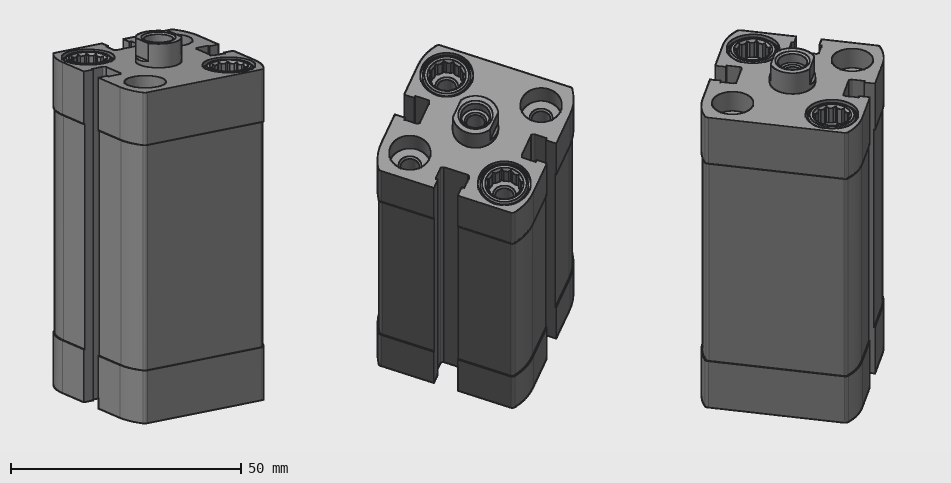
import cadquery as cq
import math


WIDTH = 35.5
TOTAL_HEIGHT = 80.6
ROD_PROTRUSION = 5.4
HOUSING_HEIGHT = TOTAL_HEIGHT - ROD_PROTRUSION
CAP_HEIGHT = 12.0
BARREL_INSET = 0.25

CORNER_ARC_RADIUS = 11.7
SCREW_PITCH = 22.0
SCREW_OFFSET = SCREW_PITCH / 2
SIDE_BLEND_RADIUS = 1.0

SLOT_MOUTH_WIDTH = 5.6
SLOT_WIDTH = 6.7
SLOT_DEPTH = 5.9
SLOT_LIP = 2.4
SLOT_CORNER_RADIUS = 0.65
SLOT_DIRECTIONS = (90, 180, 270)

THROUGH_DIAMETER = 4.1
THROUGH_MOUTH_DIAMETER = 5.0
THROUGH_CHAMFER_DEPTH = 0.4
COUNTERBORE_DIAMETER = 9.0
COUNTERBORE_DEPTH = 5.0

HEAD_RECESS_DIAMETER = 11.5
HEAD_RECESS_DEPTH = 1.0
HEAD_DIAMETER = 10.5
HEAD_SINK = 0.2
HEAD_CHAMFER = 0.4
SOCKET_NOTCHES = 12
FIRST_LAND_ANGLE = 45.0
SOCKET_LAND_RADIUS = 3.6
SOCKET_NOTCH_RADIUS = 3.95
SOCKET_MOUTH_RADIUS = 4.2
SOCKET_LAND_WIDTH = 1.05
SOCKET_LEAD_IN = 0.65
SOCKET_DEPTH = 4.4

ROD_DIAMETER = 10.0
ROD_FLATS = 8.7
FLAT_HEIGHT = 4.0
FLAT_RUNOUT = 0.3
ROD_LENGTH = ROD_PROTRUSION + CAP_HEIGHT
PILOT_MOUTH_DIAMETER = 7.5
PILOT_DIAMETER = 6.4
PILOT_CHAMFER_DEPTH = 0.3
PILOT_DEPTH = 2.6
THREAD_MOUTH_DIAMETER = 4.75
THREAD_DIAMETER = 3.95
THREAD_CHAMFER_DEPTH = 0.3
THREAD_END = 12.1
DRILL_POINT_ANGLE = 118.0


def turned(profile):
    """Solid of revolution about Z from (radius, z) points."""
    return cq.Workplane("XZ").polyline(profile).close().revolve(360, (0, 0, 0), (0, 1, 0))


def outline_block(inset, bottom, height):
    """Block with the rounded-square outline, offset inward by the inset."""
    half = WIDTH / 2 - inset
    radius = CORNER_ARC_RADIUS - inset
    centre_y = WIDTH / 2 - CORNER_ARC_RADIUS
    end_angle = math.acos((half - SCREW_OFFSET) / radius)
    mid_angle = (end_angle + math.pi / 2) / 2
    mid_x = SCREW_OFFSET + radius * math.cos(mid_angle)
    mid_y = centre_y + radius * math.sin(mid_angle)
    end_y = centre_y + radius * math.sin(end_angle)
    return (
        cq.Workplane("XY", origin=(0, 0, bottom))
        .moveTo(-SCREW_OFFSET, half)
        .lineTo(SCREW_OFFSET, half)
        .threePointArc((mid_x, mid_y), (half, end_y))
        .lineTo(half, -end_y)
        .threePointArc((mid_x, -mid_y), (SCREW_OFFSET, -half))
        .lineTo(-SCREW_OFFSET, -half)
        .threePointArc((-mid_x, -mid_y), (-half, -end_y))
        .lineTo(-half, end_y)
        .threePointArc((-mid_x, mid_y), (-SCREW_OFFSET, half))
        .close()
        .extrude(height)
        .edges("|Z and (>X or <X)")
        .fillet(SIDE_BLEND_RADIUS)
    )


def sensor_slot(direction):
    """T-slot cutter over the full height, opening toward the given angle about Z."""
    face = WIDTH / 2
    chamber_depth = SLOT_DEPTH - SLOT_LIP
    mouth = cq.Workplane("XY").box(
        SLOT_DEPTH, SLOT_MOUTH_WIDTH, HOUSING_HEIGHT, centered=(False, True, False)
    ).translate((face - SLOT_DEPTH, 0, 0))
    chamber = cq.Workplane("XY").box(
        chamber_depth, SLOT_WIDTH, HOUSING_HEIGHT, centered=(False, True, False)
    ).edges("|Z and <X").fillet(SLOT_CORNER_RADIUS).translate((face - SLOT_DEPTH, 0, 0))
    return mouth.union(chamber).rotate((0, 0, 0), (0, 0, 1), direction)


def through_hole(mouth_z):
    """Cutter for a through hole whose chamfered mouth lies at mouth_z."""
    return turned([
        (0, 0),
        (THROUGH_DIAMETER / 2, 0),
        (THROUGH_DIAMETER / 2, mouth_z - THROUGH_CHAMFER_DEPTH),
        (THROUGH_MOUTH_DIAMETER / 2, mouth_z),
        (0, mouth_z),
    ])


def counterbored_hole():
    """Cutter for a plain counterbored through hole."""
    floor_z = HOUSING_HEIGHT - COUNTERBORE_DEPTH
    counterbore = (
        cq.Workplane("XY", origin=(0, 0, floor_z)).circle(COUNTERBORE_DIAMETER / 2).extrude(COUNTERBORE_DEPTH)
    )
    return counterbore.union(through_hole(floor_z))


def notched_socket(head_top):
    """Cutter for the socket: twelve sharp notches between flat lands, with a conical lead-in."""
    pitch = 2 * math.pi / SOCKET_NOTCHES
    half_land = math.atan(SOCKET_LAND_WIDTH / 2 / SOCKET_LAND_RADIUS)
    land_corner_radius = SOCKET_LAND_RADIUS / math.cos(half_land)
    points = []
    for i in range(SOCKET_NOTCHES):
        land_angle = math.radians(FIRST_LAND_ANGLE) + i * pitch
        for radius, angle in (
            (land_corner_radius, land_angle - half_land),
            (land_corner_radius, land_angle + half_land),
            (SOCKET_NOTCH_RADIUS, land_angle + pitch / 2),
        ):
            points.append((radius * math.cos(angle), radius * math.sin(angle)))
    floor_z = head_top - SOCKET_DEPTH
    notches = cq.Workplane("XY", origin=(0, 0, floor_z)).polyline(points).close().extrude(SOCKET_DEPTH)
    lead_in = turned([
        (0, head_top),
        (SOCKET_MOUTH_RADIUS, head_top),
        (SOCKET_LAND_RADIUS, head_top - SOCKET_LEAD_IN),
        (0, head_top - SOCKET_LEAD_IN),
    ])
    return notches.union(lead_in).union(through_hole(floor_z))


def socket_head_hole():
    """Cutter that leaves a sunk, chamfered screw head with its socket and through hole."""
    head_top = HOUSING_HEIGHT - HEAD_SINK
    head_radius = HEAD_DIAMETER / 2
    recess_floor = HOUSING_HEIGHT - HEAD_RECESS_DEPTH
    recess = turned([
        (0, HOUSING_HEIGHT),
        (HEAD_RECESS_DIAMETER / 2, HOUSING_HEIGHT),
        (HEAD_RECESS_DIAMETER / 2, recess_floor),
        (head_radius, recess_floor),
        (head_radius, head_top - HEAD_CHAMFER),
        (head_radius - HEAD_CHAMFER, head_top),
        (0, head_top),
    ])
    return recess.union(notched_socket(head_top))


def rod_cylinder():
    """Plain cylinder of the rod, which is also the cutter for its seat in the housing."""
    base_z = TOTAL_HEIGHT - ROD_LENGTH
    return cq.Workplane("XY", origin=(0, 0, base_z)).circle(ROD_DIAMETER / 2).extrude(ROD_LENGTH)


def make_housing():
    """Barrel between two slightly larger end caps, with slots, screw holes and the rod hole."""
    housing = outline_block(BARREL_INSET, 0, HOUSING_HEIGHT)
    for cap_bottom in (0, HOUSING_HEIGHT - CAP_HEIGHT):
        housing = housing.union(outline_block(0, cap_bottom, CAP_HEIGHT))
    for direction in SLOT_DIRECTIONS:
        housing = housing.cut(sensor_slot(direction))
    for side in (-1, 1):
        x = side * SCREW_OFFSET
        housing = housing.cut(socket_head_hole().translate((x, x, 0)))
        housing = housing.cut(counterbored_hole().translate((x, -x, 0)))
    return housing.cut(rod_cylinder())


def wrench_flat_cutter():
    """Cutter for the flat on the +Y side, with its sloped ledge."""
    radius = ROD_DIAMETER / 2
    flat_y = ROD_FLATS / 2
    flat_bottom = TOTAL_HEIGHT - FLAT_HEIGHT
    return (
        cq.Workplane("YZ")
        .polyline([
            (flat_y, TOTAL_HEIGHT),
            (flat_y, flat_bottom),
            (radius, flat_bottom - FLAT_RUNOUT),
            (radius, TOTAL_HEIGHT),
        ])
        .close()
        .extrude(radius, both=True)
    )


def rod_bore():
    """Cutter for the pilot bore, the thread hole and its drill point."""
    pilot_floor = TOTAL_HEIGHT - PILOT_DEPTH
    thread_end = TOTAL_HEIGHT - THREAD_END
    point_depth = THREAD_DIAMETER / 2 / math.tan(math.radians(DRILL_POINT_ANGLE / 2))
    return turned([
        (0, TOTAL_HEIGHT),
        (PILOT_MOUTH_DIAMETER / 2, TOTAL_HEIGHT),
        (PILOT_DIAMETER / 2, TOTAL_HEIGHT - PILOT_CHAMFER_DEPTH),
        (PILOT_DIAMETER / 2, pilot_floor),
        (THREAD_MOUTH_DIAMETER / 2, pilot_floor),
        (THREAD_DIAMETER / 2, pilot_floor - THREAD_CHAMFER_DEPTH),
        (THREAD_DIAMETER / 2, thread_end),
        (0, thread_end - point_depth),
    ])


def make_rod():
    """Round rod with two wrench flats and a threaded hole in its end."""
    flat = wrench_flat_cutter()
    rod = rod_cylinder().cut(flat).cut(flat.mirror("XZ"))
    return rod.cut(rod_bore())


housing = make_housing()
piston_rod = make_rod()
result = cq.Compound.makeCompound([housing.val(), piston_rod.val()])